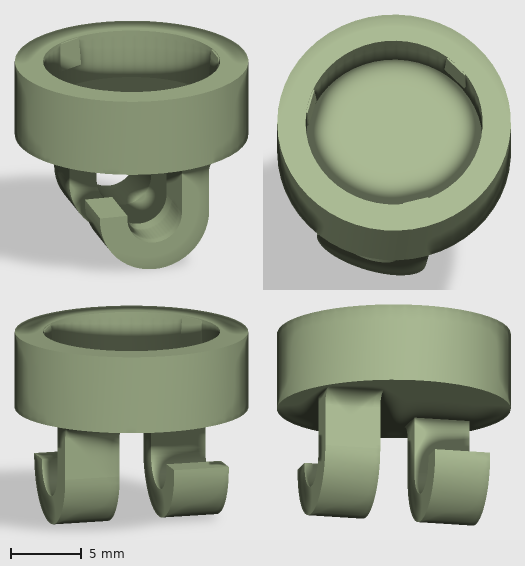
import cadquery as cq
import math

CUP_DIAMETER = 16.5
CUP_HEIGHT = 5.5
RECESS_DIAMETER = 12.5
RECESS_DEPTH = 3.5

HOOK_DROP = 8.0
HOOK_OUTER_RADIUS = HOOK_DROP / 2
HOOK_INNER_RADIUS = HOOK_OUTER_RADIUS / 2
HOOK_WIDTH = HOOK_OUTER_RADIUS
HOOK_SPACING = 2 * HOOK_WIDTH
HOOK_ROOT_RADIUS = HOOK_OUTER_RADIUS / 4
HOOK_CENTER_Z = HOOK_OUTER_RADIUS - HOOK_DROP
HOOK_TIP_RISE = 0.2

TAB_COUNT = 3
TAB_BOTTOM_WIDTH = 2.0
TAB_TOP_WIDTH = 1.83
TAB_HEIGHT = 2.0
TAB_TOP_GAP = 0.05
TAB_TOP_RADIUS = 6.09
TAB_BOTTOM_RADIUS = 5.95
TAB_FIRST_ANGLE = 90.0


def make_cup():
    disc = cq.Workplane("XY").circle(CUP_DIAMETER / 2).extrude(CUP_HEIGHT)
    return disc.cut(make_recess())


def make_recess():
    return (
        cq.Workplane("XY", origin=(0, 0, CUP_HEIGHT - RECESS_DEPTH))
        .circle(RECESS_DIAMETER / 2)
        .extrude(RECESS_DEPTH)
    )


def make_hook():
    """Hook centred on X = 0, with its leg on the -Y side and its free end on the +Y side."""
    tip_z = HOOK_CENTER_Z + HOOK_TIP_RISE
    tip_outer_y = math.sqrt(HOOK_OUTER_RADIUS**2 - HOOK_TIP_RISE**2)
    tip_inner_y = math.sqrt(HOOK_INNER_RADIUS**2 - HOOK_TIP_RISE**2)
    root_y = -HOOK_OUTER_RADIUS - HOOK_ROOT_RADIUS
    quarter_arc_reach = HOOK_ROOT_RADIUS * math.sqrt(0.5)
    root_arc_middle = (root_y + quarter_arc_reach, -HOOK_ROOT_RADIUS + quarter_arc_reach)
    return (
        cq.Workplane("YZ")
        .moveTo(-HOOK_INNER_RADIUS, 0)
        .lineTo(root_y, 0)
        .threePointArc(root_arc_middle, (-HOOK_OUTER_RADIUS, -HOOK_ROOT_RADIUS))
        .lineTo(-HOOK_OUTER_RADIUS, HOOK_CENTER_Z)
        .threePointArc((0, -HOOK_DROP), (tip_outer_y, tip_z))
        .lineTo(tip_inner_y, tip_z)
        .threePointArc((0, HOOK_CENTER_Z - HOOK_INNER_RADIUS), (-HOOK_INNER_RADIUS, HOOK_CENTER_Z))
        .close()
        .extrude(HOOK_WIDTH / 2, both=True)
    )


def make_housing():
    """Cup and both hooks as one solid; the second hook is the first turned half a turn about Z."""
    left_hook = make_hook().translate((-HOOK_SPACING / 2, 0, 0))
    right_hook = left_hook.rotate((0, 0, 0), (0, 0, 1), 180)
    return make_cup().union(left_hook).union(right_hook)


def make_tab(angle):
    """Wedge that narrows upwards, with a sloping flat inner face and a back that fits the wall."""
    top_z = CUP_HEIGHT - TAB_TOP_GAP
    bottom_z = top_z - TAB_HEIGHT
    wedge = (
        cq.Workplane("XZ")
        .polyline([
            (TAB_TOP_RADIUS, top_z),
            (CUP_DIAMETER / 2, top_z),
            (CUP_DIAMETER / 2, bottom_z),
            (TAB_BOTTOM_RADIUS, bottom_z),
        ])
        .close()
        .extrude(TAB_BOTTOM_WIDTH / 2, both=True)
    )
    tapered_outline = (
        cq.Workplane("YZ")
        .polyline([
            (-TAB_TOP_WIDTH / 2, top_z),
            (TAB_TOP_WIDTH / 2, top_z),
            (TAB_BOTTOM_WIDTH / 2, bottom_z),
            (-TAB_BOTTOM_WIDTH / 2, bottom_z),
        ])
        .close()
        .extrude(CUP_DIAMETER / 2)
    )
    tab = wedge.intersect(tapered_outline).intersect(make_recess())
    return tab.rotate((0, 0, 0), (0, 0, 1), angle)


housing = make_housing()
tabs = [make_tab(TAB_FIRST_ANGLE + index * 360 / TAB_COUNT) for index in range(TAB_COUNT)]

result = cq.Compound.makeCompound([housing.val(), *[tab.val() for tab in tabs]])